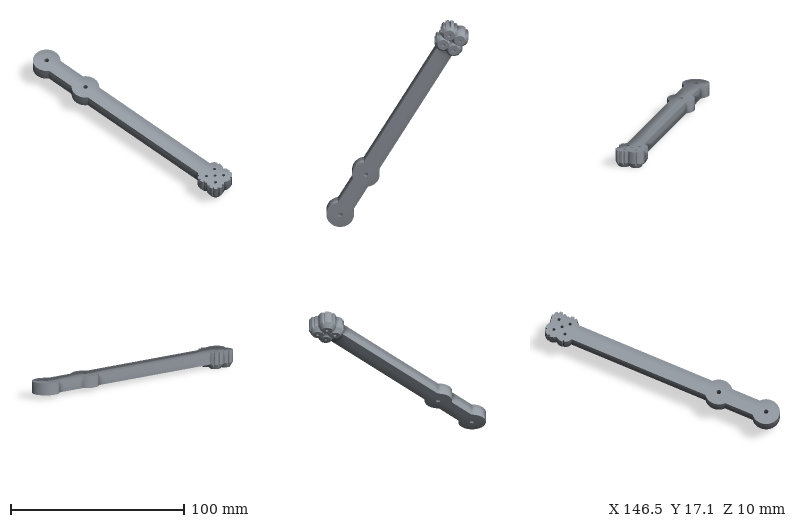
import cadquery as cq

length = 146.5
height = 10.0

arm_thickness = 7.0
arm_width = 10.0
eye_diameter = 16.0
eye_spacing = 30.0
eye_hole_diameter = 2.6

head_width = 17.1
lobe_spacing = 7.0
nose_end_radius = 3.2
notch_root_radius = 4.1
notch_mouth_width = 1.5
notch_floor_width = 0.5
notch_overshoot = 1.5
head_hole_diameter = 1.8

front_notch_step = 38.0
front_left_first_angle = -142.0
front_left_notch_count = 3
front_right_first_angle = -102.0
front_right_notch_count = 4
back_left_notches = [104.0]
back_right_notches = [18.0, 78.0]

eye_radius = eye_diameter / 2
lobe_offset = lobe_spacing / 2
lobe_radius = head_width / 2 - lobe_offset
head_x = length - eye_radius - lobe_offset - lobe_radius
eye_centers = [(0, 0), (eye_spacing, 0)]
front_left_notches = [
    front_left_first_angle + index * front_notch_step for index in range(front_left_notch_count)
]
front_right_notches = [
    front_right_first_angle + index * front_notch_step for index in range(front_right_notch_count)
]
lobes = [
    ((head_x - lobe_offset, -lobe_offset), front_left_notches),
    ((head_x + lobe_offset, -lobe_offset), front_right_notches),
    ((head_x - lobe_offset, lobe_offset), back_left_notches),
    ((head_x + lobe_offset, lobe_offset), back_right_notches),
]


def make_arm():
    """Straight bar with two round eyes, running into the head."""
    bar = cq.Workplane("XY").rect(head_x, arm_width).extrude(-arm_thickness)
    bar = bar.translate((head_x / 2, 0, 0))
    eyes = cq.Workplane("XY").pushPoints(eye_centers).circle(eye_radius).extrude(-arm_thickness)
    return bar.union(eyes)


def make_notch_cutter():
    """Upright edge notch on the +X side of a lobe, wider at the mouth than at the floor."""
    flare = (notch_mouth_width - notch_floor_width) / (lobe_radius - notch_root_radius)
    outer_radius = lobe_radius + notch_overshoot
    outer_width = notch_mouth_width + flare * notch_overshoot
    return (
        cq.Workplane("XY")
        .polyline([
            (notch_root_radius, -notch_floor_width / 2),
            (outer_radius, -outer_width / 2),
            (outer_radius, outer_width / 2),
            (notch_root_radius, notch_floor_width / 2),
        ])
        .close()
        .extrude(-height)
    )


def make_lobe(notch_angles):
    """Round lobe, straight beside the arm and conical below it, with notches in its edge."""
    profile = [
        (0, 0),
        (lobe_radius, 0),
        (lobe_radius, -arm_thickness),
        (nose_end_radius, -height),
        (0, -height),
    ]
    lobe = cq.Workplane("XZ").polyline(profile).close().revolve(360, (0, 0, 0), (0, 1, 0))
    cutter = make_notch_cutter()
    for angle in notch_angles:
        lobe = lobe.cut(cutter.rotate((0, 0, 0), (0, 0, 1), angle))
    return lobe


def drill(body, centers, diameter):
    """Through holes along Z."""
    return body.cut(cq.Workplane("XY").pushPoints(centers).circle(diameter / 2).extrude(-height))


result = make_arm()
for (lobe_x, lobe_y), notch_angles in lobes:
    lobe = make_lobe(notch_angles).translate((lobe_x, lobe_y, 0))
    result = result.union(lobe)

head_hole_centers = [(head_x, 0)] + [center for center, notch_angles in lobes]
result = drill(result, eye_centers, eye_hole_diameter)
result = drill(result, head_hole_centers, head_hole_diameter)